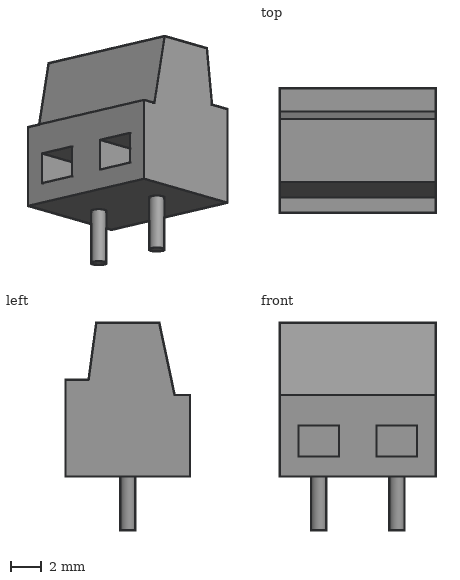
import cadquery as cq

width = 10.17
depth = 8.1
total_height = 13.5
pin_length = 3.5
housing_height = total_height - pin_length
front_ledge_height = 5.3
back_ledge_height = 6.3
front_ledge_depth = 1.0
back_ledge_depth = 1.5
crown_inset = 2.0

pole_count = 2
pole_pitch = width / pole_count
pin_diameter = 1.0
opening_width = 2.62
opening_height = 2.0
opening_sill = 1.31
opening_depth = 6.0

front_y = -depth / 2
back_y = depth / 2
pole_positions = [(i - (pole_count - 1) / 2) * pole_pitch for i in range(pole_count)]


def make_housing():
    """Stepped side profile with a tapered crown, extruded across the width."""
    profile = [
        (front_y, 0),
        (back_y, 0),
        (back_y, back_ledge_height),
        (back_y - back_ledge_depth, back_ledge_height),
        (back_y - crown_inset, housing_height),
        (front_y + crown_inset, housing_height),
        (front_y + front_ledge_depth, front_ledge_height),
        (front_y, front_ledge_height),
    ]
    return cq.Workplane("YZ").polyline(profile).close().extrude(width / 2, both=True)


def make_opening(x):
    """Blind rectangular wire opening starting at the front face."""
    return (
        cq.Workplane("XY")
        .box(opening_width, opening_depth, opening_height, centered=(True, False, False))
        .translate((x, front_y, opening_sill))
    )


def make_pin(x):
    """Round solder pin hanging below the housing."""
    return cq.Workplane("XY").center(x, 0).circle(pin_diameter / 2).extrude(-pin_length)


result = make_housing()
for pole_x in pole_positions:
    result = result.cut(make_opening(pole_x)).union(make_pin(pole_x))